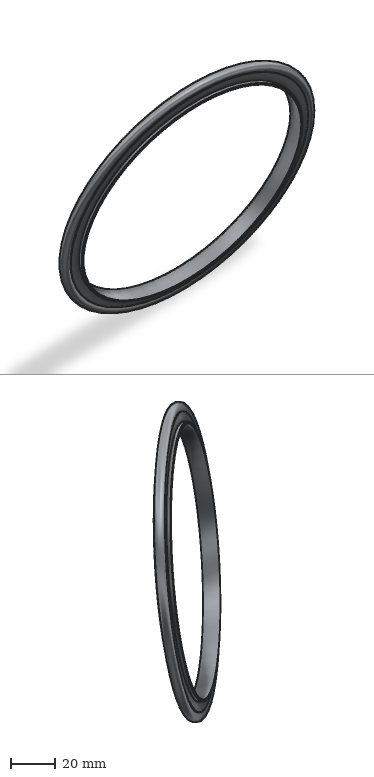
import cadquery as cq

bore_diameter = 125.0
sleeve_diameter = 127.0
sleeve_width = 8.0
sleeve_chamfer = 0.3
flange_diameter = 136.5
flange_width = 4.0

seal_outer_diameter = 145.3
seal_section_diameter = 5.0
seal_section_radius = seal_section_diameter / 2
seal_centre_radius = seal_outer_diameter / 2 - seal_section_radius


def disc(diameter, width):
    """Solid disc about the X axis, centred on the YZ plane."""
    return cq.Workplane("YZ", origin=(-width / 2, 0, 0)).circle(diameter / 2).extrude(width)


def make_seal():
    """Torus about the X axis, its section drawn with local x pointing at that axis."""
    section_plane = cq.Plane(origin=(0, seal_centre_radius, 0), xDir=(0, -1, 0), normal=(0, 0, 1))
    return (
        cq.Workplane(section_plane)
        .circle(seal_section_radius)
        .revolve(360, (seal_centre_radius, 0), (seal_centre_radius, 1))
    )


def make_carrier(seal):
    """Sleeve with chamfered outer edges and a flange grooved to fit the seal."""
    sleeve = disc(sleeve_diameter, sleeve_width).edges("%CIRCLE").chamfer(sleeve_chamfer)
    flange = disc(flange_diameter, flange_width)
    bore = disc(bore_diameter, sleeve_width)
    return sleeve.union(flange).cut(bore).cut(seal)


seal = make_seal()
carrier = make_carrier(seal)

result = cq.Compound.makeCompound([carrier.val(), seal.val()])